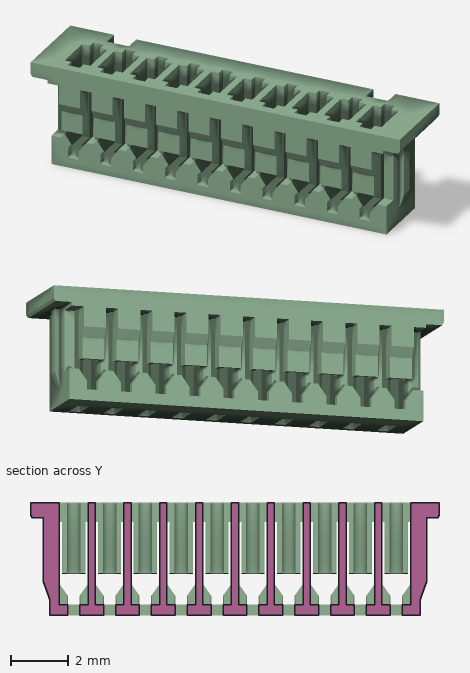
import cadquery as cq


flange_length = 14.25
flange_depth = 3.2
height = 3.95
flange_thickness = 0.55
flange_bottom = height - flange_thickness
flange_chamfer_height = 0.1
flange_chamfer_run = 0.05

body_length = 12.94
body_front = 0.85
body_back = 2.61
foot_front = 0.3
foot_top = 1.1
front_ledge_bottom = 3.26

cavity_count = 10
row_length = 11.25
pitch = row_length / (cavity_count - 1)
cavity_width = 0.98
cavity_front = 0.64
cavity_back = 2.05
cavity_floor = 0.38
groove_width = 0.47
groove_front = 0.34

slot_width = 0.4
slot_back = 2.35
pin_hole_front = 1.37
flare_bottom = 0.68

finger_width = 0.81
finger_bevel_top = 2.55
finger_bevel_bottom = 2.2
finger_tip_front = 0.2
finger_tip_top = 1.48
finger_tip_bottom = 1.45

latch_offset = 5.0
latch_width = 0.68
latch_reach = 0.3
latch_top = 1.48
latch_bottom = 0.57
notch_width = 0.85

rail_reach = 0.21
rail_front = 1.28
rail_back = 1.71
rail_root_inset = 0.07
rail_slope_top = 1.17
rail_bottom = 0.57

cavity_centers = [(i - (cavity_count - 1) / 2) * pitch for i in range(cavity_count)]


def block(center_x, width, y_range, z_range):
    """Box centred on center_x that spans the given Y and Z ranges."""
    y_min, y_max = y_range
    z_min, z_max = z_range
    corner = (center_x - width / 2, y_min, z_min)
    box = cq.Workplane("XY").box(width, y_max - y_min, z_max - z_min, centered=False)
    return box.translate(corner)


def side_extrusion(points_yz, center_x, width):
    """Prism along X with the given YZ outline, centred on center_x."""
    plane = cq.Workplane("YZ", origin=(center_x - width / 2, 0, 0))
    return plane.polyline(points_yz).close().extrude(width)


def front_extrusion(points_xz, y_min, y_max):
    """Prism along Y with the given XZ outline."""
    return cq.Workplane("XZ", origin=(0, y_min, 0)).polyline(points_xz).close().extrude(y_min - y_max)


def make_flange():
    """Top plate with beveled lower edges on both ends and the back, and two latch notches."""
    flange = block(0, flange_length, (0, flange_depth), (flange_bottom, height))
    lower_edges = flange.faces("<Z").edges("<X or >X or >Y")
    flange = lower_edges.chamfer(flange_chamfer_height, flange_chamfer_run)
    for side in (-1, 1):
        notch = block(side * latch_offset, notch_width, (body_back, flange_depth), (flange_bottom, height))
        flange = flange.cut(notch)
    return flange


def make_body():
    """Body with its front foot and the ledge under the flange."""
    outline = [
        (foot_front, 0),
        (body_back, 0),
        (body_back, flange_bottom),
        (0, flange_bottom),
        (0, front_ledge_bottom),
        (body_front, front_ledge_bottom),
        (body_front, foot_top),
        (foot_front, foot_top),
    ]
    return side_extrusion(outline, 0, body_length)


def make_finger(center_x):
    """Locking finger, thinned by a bevel toward its tip."""
    outline = [
        (cavity_front, front_ledge_bottom),
        (0, front_ledge_bottom),
        (0, finger_bevel_top),
        (finger_tip_front, finger_bevel_bottom),
        (finger_tip_front, finger_tip_bottom),
        (cavity_front, finger_tip_top),
    ]
    return side_extrusion(outline, center_x, finger_width)


def make_latch(center_x):
    """Wedge on the back face with a flat catch on top."""
    outline = [
        (body_back, latch_bottom),
        (body_back + latch_reach, latch_top),
        (body_back, latch_top),
    ]
    return side_extrusion(outline, center_x, latch_width)


def make_rail(side):
    """Dovetail rail on one end, narrower at its root, that slopes back into the body at the bottom."""
    inner_x = side * body_length / 2
    outer_x = inner_x + side * rail_reach
    dovetail = [
        (inner_x, rail_front + rail_root_inset),
        (outer_x, rail_front),
        (outer_x, rail_back),
        (inner_x, rail_back - rail_root_inset),
    ]
    profile = [
        (inner_x, flange_bottom),
        (outer_x, flange_bottom),
        (outer_x, rail_slope_top),
        (inner_x, rail_bottom),
    ]
    prism = cq.Workplane("XY").polyline(dovetail).close().extrude(flange_bottom)
    return prism.intersect(front_extrusion(profile, rail_front, rail_back))


def make_cavity(center_x):
    """All the space cut away for one terminal."""
    cavity = block(center_x, cavity_width, (cavity_front, cavity_back), (cavity_floor, height))
    groove = block(center_x, groove_width, (groove_front, cavity_front), (cavity_floor, height))
    back_slot = block(center_x, slot_width, (cavity_back, slot_back), (cavity_floor, height))
    pin_hole = block(center_x, slot_width, (pin_hole_front, slot_back), (0, cavity_floor))
    half_slot = slot_width / 2
    half_cavity = cavity_width / 2
    foot_opening = front_extrusion(
        [
            (center_x - half_slot, cavity_floor),
            (center_x + half_slot, cavity_floor),
            (center_x + half_slot, flare_bottom),
            (center_x + half_cavity, foot_top),
            (center_x - half_cavity, foot_top),
            (center_x - half_slot, flare_bottom),
        ],
        foot_front,
        cavity_front,
    )
    return cavity.union(groove).union(back_slot).union(pin_hole).union(foot_opening)


result = make_body().union(make_flange())
for side in (-1, 1):
    result = result.union(make_rail(side)).union(make_latch(side * latch_offset))
for x in cavity_centers:
    result = result.union(make_finger(x))
for x in cavity_centers:
    result = result.cut(make_cavity(x))